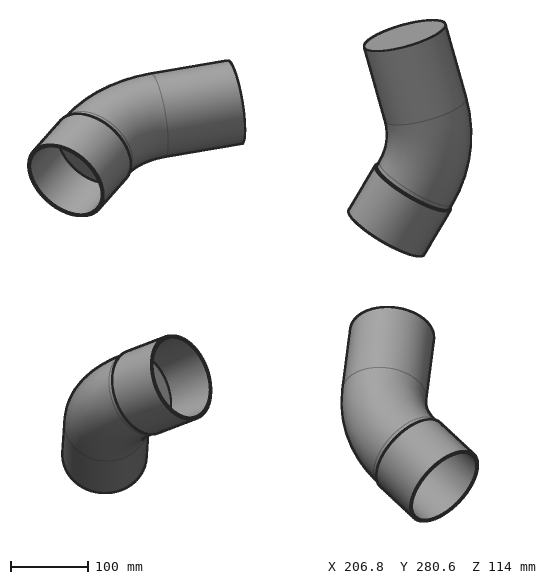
import cadquery as cq
import math

pipe_diameter = 110.0
socket_diameter = 114.0
socket_bore_diameter = 108.0
socket_length = 71.0
socket_chamfer = 1.5
socket_bore_depth = 69.0
neck_length = 6.0
bend_angle = 45.0
bend_radius = 130.0
spigot_length = 103.0

pipe_radius = pipe_diameter / 2
socket_radius = socket_diameter / 2
bend_start = socket_length + neck_length


def make_straight_end():
    """Socket with chamfered shoulder, and neck, revolved about the Y axis."""
    return (
        cq.Workplane("XY")
        .moveTo(0, 0)
        .lineTo(socket_radius, 0)
        .lineTo(socket_radius, socket_length - socket_chamfer)
        .lineTo(socket_radius - socket_chamfer, socket_length)
        .lineTo(pipe_radius, socket_length)
        .lineTo(pipe_radius, bend_start)
        .lineTo(0, bend_start)
        .close()
        .revolve(360, (0, 0), (0, 1))
    )


def make_bend():
    """Torus segment turning from +Y toward +X."""
    return (
        cq.Workplane("XZ", origin=(0, bend_start, 0))
        .circle(pipe_radius)
        .revolve(bend_angle, (bend_radius, 1), (bend_radius, 0))
    )


def make_spigot():
    """Straight pipe leaving the far end of the bend."""
    angle = math.radians(bend_angle)
    start = cq.Vector(
        bend_radius * (1 - math.cos(angle)),
        bend_start + bend_radius * math.sin(angle),
        0,
    )
    direction = cq.Vector(math.sin(angle), math.cos(angle), 0)
    plane = cq.Plane(origin=start, xDir=(0, 0, 1), normal=direction)
    return cq.Workplane(plane).circle(pipe_radius).extrude(spigot_length)


def make_socket_bore():
    """Blind, flat-bottomed bore in the mouth of the socket."""
    return (
        cq.Workplane("XZ")
        .circle(socket_bore_diameter / 2)
        .extrude(-socket_bore_depth)
    )


result = make_straight_end().union(make_bend()).union(make_spigot()).cut(make_socket_bore())